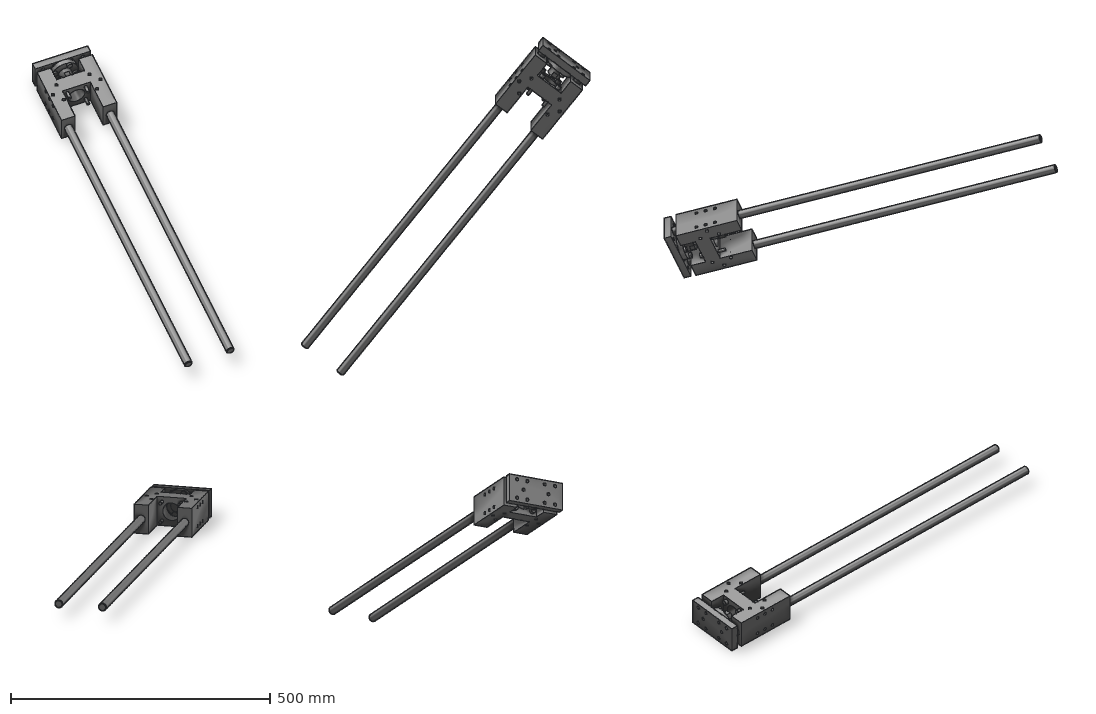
import cadquery as cq
import math

width = 115.0
rod_end_x = 767.0

plate_thickness = 14.0
plate_height = 55.0
plate_thread_depth = 10.0
rod_diameter = 16.0
rod_offset_y = 43.5
rod_chamfer = 1.5
flange_diameter = 55.0
flange_back_x = 24.0
flange_screw_count = 4
flange_screw_circle = 46.0
flange_screw_first_angle = 67.5
flange_head_height = 4.5
flange_head_diameter = 11.0
coupling_diameter = 26.0
coupling_end_x = 42.0
coupling_flat_start_x = 33.0
coupling_across_flats = 24.0
clearance_hole_diameter = 6.6
clearance_hole_y = 41.3
plate_side_hole_y = 27.0

thread_diameter = 6.0
core_diameter = 4.92
thread_depth = 12.0
core_depth = 15.0

block_front_x = 24.0
block_length = 125.0
block_height = 58.0
opening_width = 58.0
web_front_x = 54.0
web_back_x = 84.0
mounting_pitch = 38.0
web_bore_diameter = 35.0
mounting_screw_diameter = 6.0
mounting_head_diameter = 10.0
mounting_head_height = 7.0
mounting_screw_tip_x = 98.0
block_hole_middle_x = 85.0
top_hole_inner_y = 34.5
locating_hole_y = 49.5
locating_hole_diameter = 6.2
locating_hole_depth = 6.0

block_back_x = block_front_x + block_length
half_pitch = mounting_pitch / 2
signs = (-1, 1)
corner_points = [(sy * half_pitch, sz * half_pitch) for sy in signs for sz in signs]


def x_cylinder(diameter, start_x, end_x, y=0.0, z=0.0):
    """Cylinder along X between two stations, centred on (y, z)."""
    return (
        cq.Workplane("YZ", origin=(start_x, 0, 0))
        .center(y, z)
        .circle(diameter / 2)
        .extrude(end_x - start_x)
    )


def x_box(start_x, end_x, size_y, size_z):
    """Box between two X stations, centred on the X axis."""
    length = end_x - start_x
    return cq.Workplane("XY").box(length, size_y, size_z).translate((start_x + length / 2, 0, 0))


def plate_tapped_hole(y, z):
    """Tapped hole through the plate: thread from the front, core drill the rest of the way."""
    thread = x_cylinder(thread_diameter, 0, plate_thread_depth, y, z)
    return thread.union(x_cylinder(core_diameter, plate_thread_depth, plate_thickness, y, z))


def make_plate():
    plate = x_box(0, plate_thickness, width, plate_height)
    for y, z in corner_points:
        plate = plate.cut(plate_tapped_hole(y, z))
    for side in signs:
        plate = plate.cut(plate_tapped_hole(side * plate_side_hole_y, 0))
        for level in signs:
            hole = x_cylinder(
                clearance_hole_diameter, 0, plate_thickness, side * clearance_hole_y, level * half_pitch
            )
            plate = plate.cut(hole)
    return plate


def make_coupling():
    """Round coupling whose free end has two flats, facing up and down."""
    neck = x_cylinder(coupling_diameter, flange_back_x, coupling_flat_start_x)
    end = x_cylinder(coupling_diameter, coupling_flat_start_x, coupling_end_x)
    flats = x_box(coupling_flat_start_x, coupling_end_x, coupling_diameter, coupling_across_flats)
    return neck.union(end.intersect(flats))


def make_flange():
    flange = x_cylinder(flange_diameter, plate_thickness, flange_back_x)
    head_back_x = flange_back_x + flange_head_height
    for index in range(flange_screw_count):
        angle = math.radians(flange_screw_first_angle + index * 360 / flange_screw_count)
        y = flange_screw_circle / 2 * math.cos(angle)
        z = flange_screw_circle / 2 * math.sin(angle)
        flange = flange.union(x_cylinder(flange_head_diameter, flange_back_x, head_back_x, y, z))
    return flange


def make_rod(y):
    return x_cylinder(rod_diameter, plate_thickness, rod_end_x, y).faces(">X").chamfer(rod_chamfer)


def make_slide():
    slide = make_plate().union(make_flange()).union(make_coupling())
    for side in signs:
        slide = slide.union(make_rod(side * rod_offset_y))
    return slide


def top_bottom_hole(x, y, level, diameter, depth):
    """Blind hole into the top (level 1) or the bottom (level -1) of the block."""
    face = cq.Workplane("XY", origin=(x, y, level * block_height / 2))
    return face.circle(diameter / 2).extrude(-level * depth)


def side_hole(x, z, side, diameter, depth):
    """Blind hole into the +Y side (side 1) or the -Y side (side -1) of the block."""
    face = cq.Workplane("XZ", origin=(x, side * width / 2, z))
    return face.circle(diameter / 2).extrude(side * depth)


def tapped(hole, *place):
    """Tapped version of a blind hole: thread-sized mouth with a deeper core drill."""
    return hole(*place, thread_diameter, thread_depth).union(hole(*place, core_diameter, core_depth))


def make_block():
    block = x_box(block_front_x, block_back_x, width, block_height)
    block = block.cut(x_box(block_front_x, web_front_x, opening_width, block_height))
    block = block.cut(x_box(web_back_x, block_back_x, opening_width, block_height))
    block = block.cut(x_cylinder(web_bore_diameter, web_front_x, web_back_x))
    for side in signs:
        block = block.cut(x_cylinder(rod_diameter, block_front_x, block_back_x, side * rod_offset_y))
        for level in signs:
            locating_y = side * locating_hole_y
            locating_hole = top_bottom_hole(
                block_hole_middle_x, locating_y, level, locating_hole_diameter, locating_hole_depth
            )
            block = block.cut(locating_hole)
            for step in signs:
                x = block_hole_middle_x + step * half_pitch
                block = block.cut(tapped(top_bottom_hole, x, side * top_hole_inner_y, level))
            for step in (-1, 0, 1):
                x = block_hole_middle_x + step * half_pitch
                block = block.cut(tapped(side_hole, x, level * half_pitch, side))
    return block


def make_housing():
    housing = make_block()
    for y, z in corner_points:
        head = x_cylinder(mounting_head_diameter, web_front_x - mounting_head_height, web_front_x, y, z)
        shank = x_cylinder(mounting_screw_diameter, web_back_x, mounting_screw_tip_x, y, z)
        housing = housing.union(head).union(shank)
    return housing


slide = make_slide()
housing = make_housing()

result = cq.Compound.makeCompound([slide.val(), housing.val()])